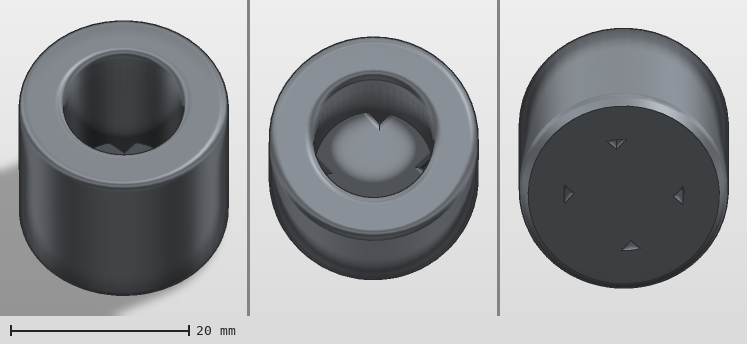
import cadquery as cq

outer_diameter = 23.5
height = 22.0
bore_diameter = 13.5
edge_size = 1.0

narrow_arm_width = 7.15
wide_arm_width = 8.55
arm_edge_radius = 0.75
floor_thickness = 5.0


def make_sleeve():
    """Solid ring with a chamfered base and rounded rims."""
    sleeve = cq.Workplane("XY").circle(outer_diameter / 2).extrude(height)
    sleeve = sleeve.faces("<Z").edges().chamfer(edge_size)
    chamfer_top = cq.selectors.BoxSelector(
        (-outer_diameter, -outer_diameter, edge_size / 2),
        (outer_diameter, outer_diameter, height / 2),
        boundingbox=True,
    )
    sleeve = sleeve.edges("%CIRCLE").edges(chamfer_top).fillet(edge_size)
    bore = cq.Workplane("XY").circle(bore_diameter / 2).extrude(height)
    return sleeve.cut(bore).faces(">Z").edges().fillet(edge_size)


def make_cross_floor():
    """Two crossing bars with rounded upper edges, trimmed to the bore."""
    bar_length = outer_diameter
    arm_along_y = cq.Workplane("XY").box(
        narrow_arm_width, bar_length, floor_thickness, centered=(True, True, False)
    )
    arm_along_x = cq.Workplane("XY").box(
        bar_length, wide_arm_width, floor_thickness, centered=(True, True, False)
    )
    arm_along_y = arm_along_y.faces(">Z").edges("|Y").fillet(arm_edge_radius)
    arm_along_x = arm_along_x.faces(">Z").edges("|X").fillet(arm_edge_radius)
    trim_diameter = (bore_diameter + outer_diameter) / 2
    trim = cq.Workplane("XY").circle(trim_diameter / 2).extrude(floor_thickness)
    return arm_along_y.union(arm_along_x).intersect(trim)


result = make_sleeve().union(make_cross_floor())